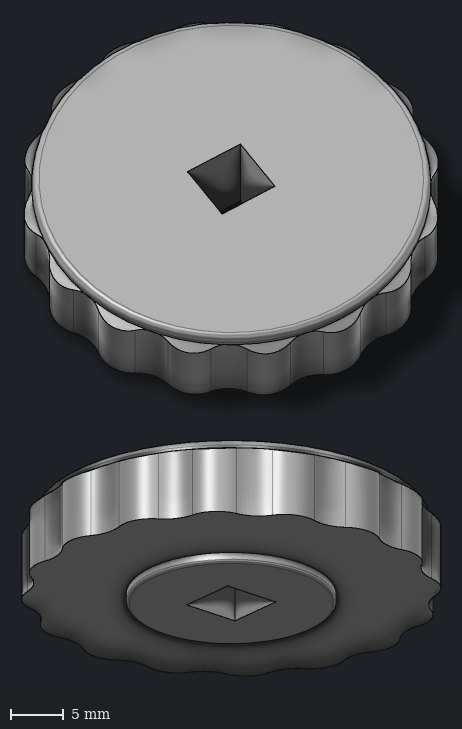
import cadquery as cq
import math

OUTER_RADIUS = 20.0
TOTAL_HEIGHT = 9.0

BOSS_RADIUS = 10.0
BOSS_HEIGHT = 1.0
BOSS_FILLET = 0.3

DISC_RADIUS = 19.0
DISC_HEIGHT = 1.0
DISC_FILLET = 0.7

LOBE_COUNT = 16
LOBE_RADIUS = 3.5
VALLEY_DEPTH = 1.05
GRIP_BOTTOM = BOSS_HEIGHT
GRIP_TOP = TOTAL_HEIGHT - DISC_HEIGHT
LOBE_TIP_DROP = 0.5
BLANK_MARGIN = 1.0

SQUARE_SIDE = 6.0


def polar(radius, angle):
    """Point at a radius and an angle in radians about the part axis."""
    return (radius * math.cos(angle), radius * math.sin(angle))


def make_grip():
    pitch = 2 * math.pi / LOBE_COUNT
    half_pitch = pitch / 2
    valley_floor = OUTER_RADIUS - VALLEY_DEPTH
    lobe_center = OUTER_RADIUS - LOBE_RADIUS

    lobe_reach = lobe_center * math.cos(half_pitch)
    valley_radius = (
        valley_floor**2 + lobe_center**2 - 2 * valley_floor * lobe_reach - LOBE_RADIUS**2
    ) / (2 * (LOBE_RADIUS + lobe_reach - valley_floor))
    valley_center = polar(valley_floor + valley_radius, half_pitch)

    share = LOBE_RADIUS / (LOBE_RADIUS + valley_radius)
    tangent_x = lobe_center + share * (valley_center[0] - lobe_center)
    tangent_y = share * valley_center[1]
    tangent_distance = math.hypot(tangent_x, tangent_y)
    tangent_angle = math.atan2(tangent_y, tangent_x)

    outline = cq.Workplane("XY").workplane(offset=GRIP_BOTTOM)
    outline = outline.moveTo(*polar(tangent_distance, -tangent_angle))
    for index in range(LOBE_COUNT):
        angle = index * pitch
        outline = outline.threePointArc(
            polar(OUTER_RADIUS, angle),
            polar(tangent_distance, angle + tangent_angle),
        )
        outline = outline.threePointArc(
            polar(valley_floor, angle + half_pitch),
            polar(tangent_distance, angle + pitch - tangent_angle),
        )
    grip = outline.close().extrude(GRIP_TOP - GRIP_BOTTOM)
    return grip.intersect(make_grip_envelope())


def make_grip_envelope():
    """Turned blank whose top slopes down from the disc edge to the lobe tips."""
    blank_radius = OUTER_RADIUS + BLANK_MARGIN
    slope = LOBE_TIP_DROP / (OUTER_RADIUS - DISC_RADIUS)
    rim_height = GRIP_TOP - slope * (blank_radius - DISC_RADIUS)
    profile = [
        (0, GRIP_BOTTOM),
        (blank_radius, GRIP_BOTTOM),
        (blank_radius, rim_height),
        (DISC_RADIUS, GRIP_TOP),
        (0, GRIP_TOP),
    ]
    return cq.Workplane("XZ").polyline(profile).close().revolve(360, (0, 0), (0, 1))


def make_disc():
    disc = cq.Workplane("XY").workplane(offset=GRIP_TOP).circle(DISC_RADIUS).extrude(DISC_HEIGHT)
    return disc.faces(">Z").edges().fillet(DISC_FILLET)


def make_boss():
    boss = cq.Workplane("XY").circle(BOSS_RADIUS).extrude(BOSS_HEIGHT)
    return boss.faces("<Z").edges().fillet(BOSS_FILLET)


def make_square_hole():
    return cq.Workplane("XY").rect(SQUARE_SIDE, SQUARE_SIDE).extrude(TOTAL_HEIGHT)


result = make_grip().union(make_disc()).union(make_boss()).cut(make_square_hole())